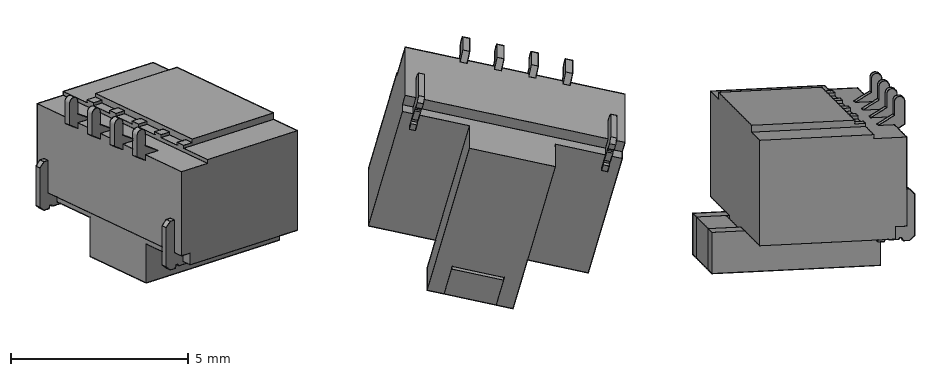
import cadquery as cq
import math


housing_width = 6.4
housing_depth = 4.25
roof_height = 3.05
shelf_height = 2.94
shelf_depth = 0.955
recess_depth = 0.32
recess_height = 0.36

contact_count = 4
pitch = 1.0
lead_thickness = 0.3
contact_width = 0.205
contact_top = 3.75
contact_root_depth = 0.47
contact_slope = math.tan(math.radians(30))

pad_width = 4.28
pad_top = 3.25
pad_front = 1.27
tooth_top = 3.14
tooth_width = pad_width - contact_count * pitch

tab_width = 0.18
tab_spacing = 5.595
tab_top = 1.36
tab_top_chamfer = 0.155
foot_drop = 0.135
foot_reach = 0.77

foot_middle = 0.304
groove_outer_foot = 0.272
groove_outer_roof = 0.24
groove_inner_roof = 0.1695
groove_inner_foot = 0.144
groove_drop = 0.045
land_drop = 0.09

nose_width = 2.5
nose_height = 1.2
nose_overhang = 0.95
nose_arm_width = 0.49
plate_gap = 0.09
nose_back = housing_depth + nose_overhang
notch_width = nose_width - 2 * nose_arm_width


def block(width, y_min, y_max, z_min, z_max, x_middle=0.0):
    """Box centred on x_middle, between the given Y and Z limits."""
    box = cq.Workplane("XY").box(width, y_max - y_min, z_max - z_min, centered=(True, False, False))
    return box.translate((x_middle, y_min, z_min))


def extrude_profile(profile, width, x_middle=0.0):
    """Extrude a closed YZ profile symmetrically about x_middle."""
    return profile.extrude(width / 2, both=True).translate((x_middle, 0, 0))


def centred_positions(count, spacing):
    return [(i - (count - 1) / 2) * spacing for i in range(count)]


def make_housing_block():
    profile = cq.Workplane("YZ").polyline([
        (recess_depth, 0),
        (housing_depth, 0),
        (housing_depth, roof_height),
        (shelf_depth, roof_height),
        (shelf_depth, shelf_height),
        (0, shelf_height),
        (0, recess_height),
        (recess_depth, recess_height),
    ]).close()
    return extrude_profile(profile, housing_width)


def make_pad():
    return block(pad_width, pad_front, housing_depth, shelf_height, pad_top)


def make_tooth(x_middle):
    return block(tooth_width, shelf_depth, pad_front, shelf_height, tooth_top, x_middle)


def make_contact(x_middle):
    tip_radius = lead_thickness / 2
    tip_start = contact_top - tip_radius
    profile = (
        cq.Workplane("YZ")
        .moveTo(contact_root_depth, shelf_height)
        .lineTo(0, shelf_height + contact_root_depth * contact_slope)
        .lineTo(0, tip_start)
        .threePointArc((-tip_radius, contact_top), (-lead_thickness, tip_start))
        .lineTo(-lead_thickness, shelf_height)
        .lineTo(0, shelf_height - lead_thickness * contact_slope)
        .close()
    )
    return extrude_profile(profile, contact_width, x_middle)


def make_solder_tab(x_middle):
    chamfer_start = -lead_thickness / 2
    profile = cq.Workplane("YZ").polyline([
        (0, tab_top),
        (chamfer_start, tab_top),
        (-lead_thickness, tab_top - tab_top_chamfer),
        (-lead_thickness, 0),
        (chamfer_start, -foot_drop),
        (foot_middle - groove_outer_foot, -foot_drop),
        (foot_middle - groove_outer_roof, -groove_drop),
        (foot_middle - groove_inner_roof, -groove_drop),
        (foot_middle - groove_inner_foot, -land_drop),
        (foot_middle + groove_inner_foot, -land_drop),
        (foot_middle + groove_inner_roof, -groove_drop),
        (foot_middle + groove_outer_roof, -groove_drop),
        (foot_middle + groove_outer_foot, -foot_drop),
        (foot_reach, -foot_drop),
        (foot_reach, 0),
        (recess_depth, 0),
        (recess_depth, recess_height),
        (0, recess_height),
    ]).close()
    return extrude_profile(profile, tab_width, x_middle)


def make_nose():
    nose = block(nose_width, recess_depth, nose_back, -nose_height, 0)
    notch = block(notch_width, housing_depth, nose_back, -nose_height, 0)
    return nose.cut(notch)


def make_housing():
    housing = make_housing_block().union(make_pad()).union(make_nose())
    for x_middle in centred_positions(contact_count + 1, pitch):
        housing = housing.union(make_tooth(x_middle))
    for x_middle in centred_positions(contact_count, pitch):
        housing = housing.union(make_contact(x_middle))
    for x_middle in centred_positions(2, tab_spacing):
        housing = housing.union(make_solder_tab(x_middle))
    return housing


def make_plate():
    """Plate between the nose arms, flush with their ends and clear of the notch floor."""
    return block(notch_width, housing_depth + plate_gap, nose_back, -nose_height, 0)


housing = make_housing()
plate = make_plate()

result = cq.Compound.makeCompound([housing.val(), plate.val()])